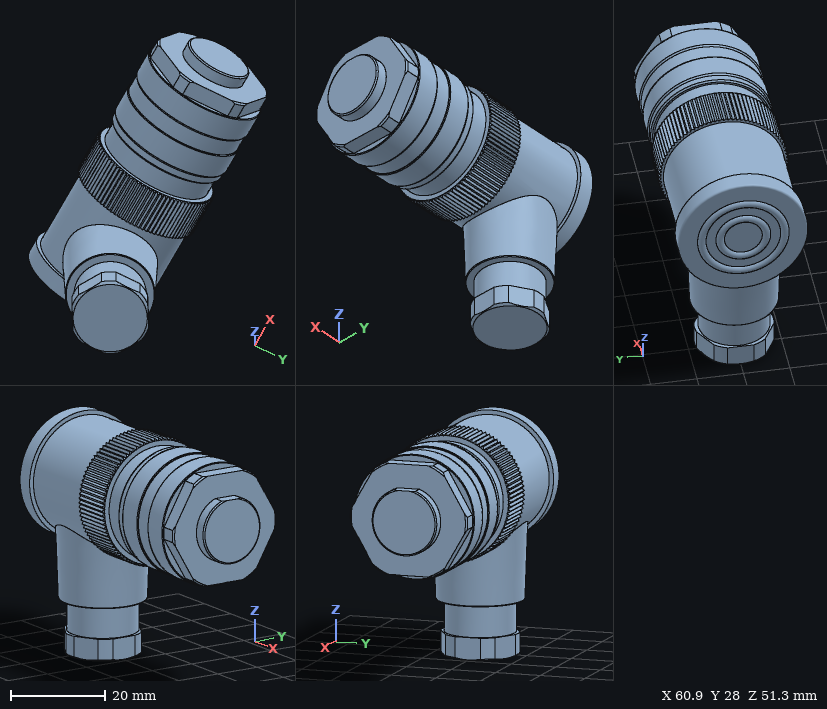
import cadquery as cq
import math


total_height = 51.3

cap_face_x = 0.6
cap_end_x = 4.6
cap_radius = 14.0
cap_edge_fillet = 0.4
body_radius = 13.05
ridge_height = cap_face_x
ridge_half_width = 0.9
ridge_root_depth = 0.3
ridge_mid_radii = (8.95, 5.0)

knurl_start_x = 23.4
knurl_end_x = 32.6
knurl_radius = cap_radius
knurl_depth = 0.5
knurl_teeth = 90
knurl_end_chamfer = 0.4

neck_radius = 12.4
sleeve_start_x = 37.1
sleeve_end_x = 54.5
sleeve_radius = 13.2
sleeve_chamfer = 0.35
ring_radius = 13.5
ring_ramp = 0.4
ring_end_chamfer = 0.2
ring_spans = ((38.9, 44.95), (48.6, sleeve_end_x))

coupling_hex_end_x = 58.1
coupling_hex_flats = 24.0
coupling_hex_round_radius = 13.15
coupling_hex_chamfer = 0.35
plug_end_x = 60.9
plug_radius = 7.25
plug_flat_z = 6.8
plug_chamfer = 0.3

outlet_x = 11.6
outlet_end_z = -25.4
outlet_end_radius = 9.5
outlet_draft = 2.0
outlet_end_chamfer = 0.2
stem_radius = 7.7
nut_top_z = -32.35
nut_bottom_z = cap_radius - total_height
nut_flats = 16.1
nut_round_radius = 8.5
nut_chamfer_height = 0.4
nut_chamfer_width = 0.7


def revolve_about_x(outline):
    """Solid of revolution about X from (x, radius) points; the axis closes the outline."""
    points = [(outline[0][0], 0)] + outline + [(outline[-1][0], 0)]
    return cq.Workplane("XY").polyline(points).close().revolve(360, (0, 0, 0), (1, 0, 0))


def chamfered_cylinder(start_x, end_x, radius, chamfer):
    """Cylinder on the main axis with its +X edge chamfered."""
    return revolve_about_x([
        (start_x, radius),
        (end_x - chamfer, radius),
        (end_x, radius - chamfer),
    ])


def revolve_about_outlet(outline):
    """Solid of revolution about the outlet axis from (radius, z) points."""
    points = [(0, outline[0][1])] + outline + [(0, outline[-1][1])]
    half_section = cq.Workplane("XZ", origin=(outlet_x, 0, 0)).polyline(points).close()
    return half_section.revolve(360, (0, 0, 0), (0, 1, 0))


def cap_and_body():
    cap = cq.Workplane("YZ", origin=(cap_face_x, 0, 0)).circle(cap_radius).extrude(cap_end_x - cap_face_x)
    cap = cap.faces("<X").edges().fillet(cap_edge_fillet)
    body_and_neck = revolve_about_x([
        (cap_face_x, body_radius),
        (knurl_start_x, body_radius),
        (knurl_start_x, neck_radius),
        (sleeve_start_x, neck_radius),
    ])
    return cap.union(body_and_neck)


def cap_ridge(mid_radius):
    """Round-topped ring standing out of the cap face."""
    ridge = (
        cq.Workplane("XY")
        .moveTo(cap_face_x, mid_radius - ridge_half_width)
        .threePointArc(
            (cap_face_x - ridge_height, mid_radius),
            (cap_face_x, mid_radius + ridge_half_width),
        )
        .lineTo(cap_face_x + ridge_root_depth, mid_radius + ridge_half_width)
        .lineTo(cap_face_x + ridge_root_depth, mid_radius - ridge_half_width)
        .close()
    )
    return ridge.revolve(360, (0, 0, 0), (1, 0, 0))


def knurled_band():
    """Band of straight V teeth with one chamfered end."""
    points = []
    for half_pitch in range(2 * knurl_teeth):
        angle = math.pi * half_pitch / knurl_teeth
        radius = knurl_radius if half_pitch % 2 == 0 else knurl_radius - knurl_depth
        points.append((radius * math.cos(angle), radius * math.sin(angle)))
    teeth = cq.Workplane("YZ", origin=(knurl_start_x, 0, 0)).polyline(points).close()
    teeth = teeth.extrude(knurl_end_x - knurl_start_x)
    envelope = chamfered_cylinder(knurl_start_x, knurl_end_x, knurl_radius, knurl_end_chamfer)
    return teeth.intersect(envelope)


def coupling_sleeve():
    outline = [
        (sleeve_start_x, sleeve_radius - sleeve_chamfer),
        (sleeve_start_x + sleeve_chamfer, sleeve_radius),
    ]
    for start_x, end_x in ring_spans:
        outline += [
            (start_x, sleeve_radius),
            (start_x + ring_ramp, ring_radius),
            (end_x - ring_end_chamfer, ring_radius),
            (end_x, ring_radius - ring_end_chamfer),
        ]
        if end_x < sleeve_end_x:
            outline.append((end_x, sleeve_radius))
    return revolve_about_x(outline)


def hexagon(workplane, across_flats, height):
    """Hexagonal prism with two corners on the local X axis of the workplane."""
    corner_diameter = across_flats / math.cos(math.pi / 6)
    return workplane.polygon(6, corner_diameter).extrude(height)


def coupling_hexagon():
    """Hexagon with flats facing +Z and -Z and corners rounded by a chamfered cylinder."""
    plane = cq.Workplane("YZ", origin=(sleeve_end_x, 0, 0))
    prism = hexagon(plane, coupling_hex_flats, coupling_hex_end_x - sleeve_end_x)
    envelope = chamfered_cylinder(
        sleeve_end_x, coupling_hex_end_x, coupling_hex_round_radius, coupling_hex_chamfer
    )
    return prism.intersect(envelope)


def plug():
    """Round plug with a flat on its upper side."""
    barrel = chamfered_cylinder(coupling_hex_end_x, plug_end_x, plug_radius, plug_chamfer)
    length = plug_end_x - coupling_hex_end_x
    flat_cutter = cq.Workplane("XY").box(length, 2 * plug_radius, plug_radius, centered=(False, True, False))
    return barrel.cut(flat_cutter.translate((coupling_hex_end_x, 0, plug_flat_z)))


def cable_outlet():
    """Drafted outlet that widens upward into the body, and the stem below it."""
    root_radius = outlet_end_radius - outlet_end_z * math.tan(math.radians(outlet_draft))
    return revolve_about_outlet([
        (root_radius, 0),
        (outlet_end_radius, outlet_end_z + outlet_end_chamfer),
        (outlet_end_radius - outlet_end_chamfer, outlet_end_z),
        (stem_radius, outlet_end_z),
        (stem_radius, nut_top_z),
    ])


def cable_nut():
    """Hexagon nut with flats facing +X and -X and a chamfered lower end."""
    plane = cq.Workplane("XY", origin=(outlet_x, 0, nut_bottom_z)).transformed(rotate=(0, 0, 90))
    prism = hexagon(plane, nut_flats, nut_top_z - nut_bottom_z)
    envelope = revolve_about_outlet([
        (nut_round_radius, nut_top_z),
        (nut_round_radius, nut_bottom_z + nut_chamfer_height),
        (nut_round_radius - nut_chamfer_width, nut_bottom_z),
    ])
    return prism.intersect(envelope)


connector = cap_and_body().union(cable_outlet()).union(cable_nut())
for ridge_radius in ridge_mid_radii:
    connector = connector.union(cap_ridge(ridge_radius))
for section in (knurled_band(), coupling_sleeve(), coupling_hexagon(), plug()):
    connector = connector.union(section)

result = connector.val()